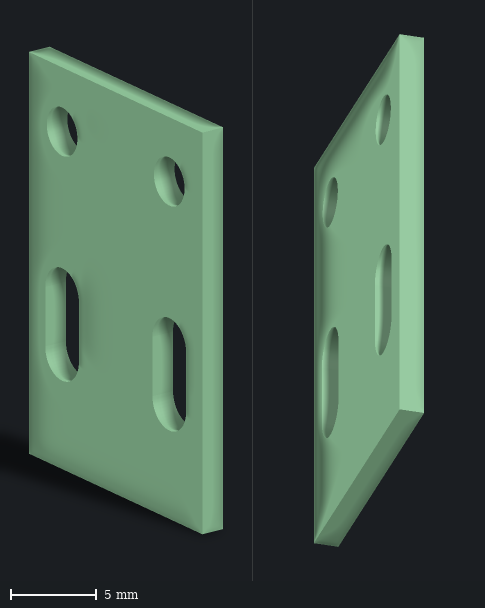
import cadquery as cq

width = 17.0
thickness = 1.5
height = 25.0

column_spacing = 10.5
hole_diameter = 3.0
hole_height = 21.0
slot_width = 3.3
slot_length = 7.0
slot_height = 9.0


def column_points(height_above_bottom):
    """Left and right column positions at one height."""
    z = height_above_bottom - height / 2
    return [(-column_spacing / 2, z), (column_spacing / 2, z)]


front_face = cq.Workplane("XZ", origin=(0, -thickness / 2, 0))

plate = front_face.rect(width, height).extrude(-thickness)

holes = (
    front_face.pushPoints(column_points(hole_height))
    .circle(hole_diameter / 2)
    .extrude(-thickness)
)

slots = (
    front_face.pushPoints(column_points(slot_height))
    .slot2D(slot_length, slot_width, 90)
    .extrude(-thickness)
)

result = plate.cut(holes).cut(slots)